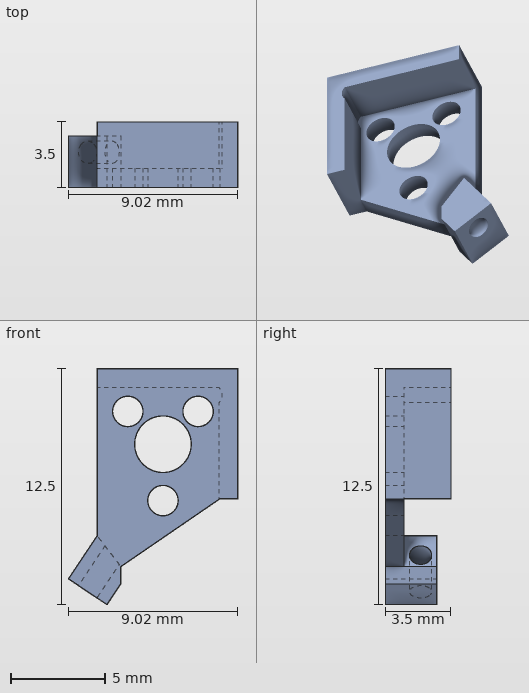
import cadquery as cq
import math

height = 12.54
depth = 3.5
plate_left = 1.53
plate_right = 9.02
plate_thickness = 1.0
flange_thickness = 1.0
wall_thickness = 1.0
wall_height = 6.92
wall_bottom = height - wall_height
groove_radius = 0.58
groove_height = 0.8

foot_depth = 2.75
foot_corner = (plate_left, 3.66)
foot_tilt = 33.7
foot_width = 2.47
foot_length = 2.76
foot_right = 2.8
foot_hole_diameter = 1.18
foot_hole_y = 1.88

slope_start = (8.05, wall_bottom)
slope_end = (foot_right, 2.02)

motor_inset = 3.5
motor_x = plate_left + motor_inset
motor_z = 8.53
shaft_diameter = 3.0
screw_diameter = 1.6
upper_screw_offset = (1.87, 1.74)
lower_screw_drop = 3.0

tilt = math.radians(foot_tilt)
along = (-math.sin(tilt), -math.cos(tilt))
across = (math.cos(tilt), -math.sin(tilt))


def foot_point(across_distance, along_distance):
    """Point in XZ measured from the upper corner of the foot."""
    return tuple(
        corner + across_distance * a + along_distance * b
        for corner, a, b in zip(foot_corner, across, along)
    )


def extrude_back(points, length):
    """Extrude an XZ outline from the front face toward +Y."""
    return cq.Workplane("XZ").polyline(points).close().extrude(-length)


def box(x_min, x_max, z_min, z_max):
    """Full-depth box over a rectangle in XZ."""
    corners = [(x_min, z_min), (x_max, z_min), (x_max, z_max), (x_min, z_max)]
    return extrude_back(corners, depth)


trim_along = (foot_right - foot_point(foot_width, 0)[0]) / along[0]
foot_trim_bottom = foot_point(foot_width, trim_along)
foot_tip = foot_point(foot_width, foot_length)
foot_left = foot_point(0, foot_length)

plate = extrude_back(
    [
        (plate_left, height),
        (plate_right, height),
        (plate_right, wall_bottom),
        slope_start,
        slope_end,
        foot_trim_bottom,
        foot_tip,
        foot_left,
        foot_corner,
    ],
    plate_thickness,
)
flange = box(plate_left, plate_right, height - flange_thickness, height)
wall_left = plate_right - wall_thickness
wall = box(wall_left, plate_right, wall_bottom, height)

groove_offset = math.sqrt(groove_radius**2 - (groove_height / 2) ** 2)
groove_z = height - flange_thickness - groove_height / 2
groove = (
    cq.Workplane("XZ", origin=(0, plate_thickness, 0))
    .moveTo(wall_left, groove_z + groove_height / 2)
    .threePointArc(
        (wall_left - groove_offset + groove_radius, groove_z),
        (wall_left, groove_z - groove_height / 2),
    )
    .close()
    .extrude(plate_thickness - depth)
)

foot = extrude_back(
    [foot_corner, slope_end, foot_trim_bottom, foot_tip, foot_left], foot_depth
)
hole_x, hole_z = foot_point(foot_width / 2, foot_length)
foot_hole = cq.Workplane(
    cq.Plane(
        origin=(hole_x, foot_hole_y, hole_z),
        xDir=(0, 1, 0),
        normal=(-along[0], 0, -along[1]),
    )
).circle(foot_hole_diameter / 2).extrude(foot_length)

screw_dx, screw_dz = upper_screw_offset
screw_centers = [
    (motor_x - screw_dx, motor_z + screw_dz),
    (motor_x + screw_dx, motor_z + screw_dz),
    (motor_x, motor_z - lower_screw_drop),
]
shaft_hole = (
    cq.Workplane("XZ")
    .center(motor_x, motor_z)
    .circle(shaft_diameter / 2)
    .extrude(-plate_thickness)
)
screw_holes = (
    cq.Workplane("XZ")
    .pushPoints(screw_centers)
    .circle(screw_diameter / 2)
    .extrude(-plate_thickness)
)

result = (
    plate.union(flange)
    .union(wall)
    .union(foot)
    .cut(groove)
    .cut(foot_hole)
    .cut(shaft_hole)
    .cut(screw_holes)
)